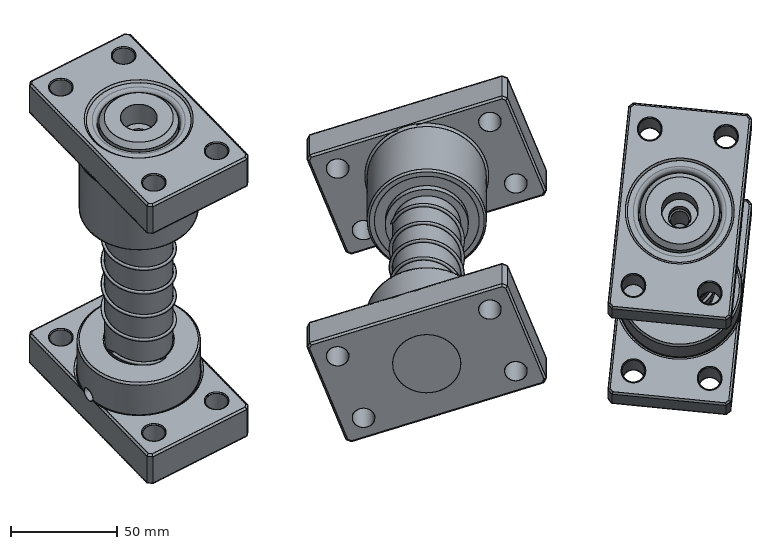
import cadquery as cq
import math

total_height = 190.0
plate_thickness = 20.0
boss_top = 40.0
upper_plate_top = 189.0
upper_plate_bottom = upper_plate_top - plate_thickness
housing_bottom = 128.5
cage_bottom = 125.0

plate_length = 100.0
plate_width = 58.0
plate_angle = -36.94
plate_corner = 2.0
plate_edge = 1.0
bolt_spacing_long = 76.0
bolt_spacing_short = 36.0
bolt_hole_diameter = 11.6
bolt_hole_edge = 0.5
bolt_hole_edge_angle = 90.0

boss_radius = 29.0
boss_chamfer = 1.0
pillar_bore_chamfer = 0.7
groove_outer_radius = 30.4
groove_depth = 1.0
cross_hole_radius = 3.5
cross_hole_depth = 12.0

barrel_radius = 28.0
barrel_chamfer = 1.0
flare_width = 1.1
flare_height = 1.3
bush_bore_chamfer = 1.0

bush_radius = 24.6
bush_mouth_radius = 2.3
bush_top = upper_plate_top - bush_bore_chamfer

cage_radius = 19.5

retainer_radius = 18.7
retainer_chamfer = 2.5
retainer_floor = 5.0
screw_head_radius = 8.6
screw_head_depth = 13.0
screw_clearance_radius = 5.2
retainer_bottom = total_height - screw_head_depth - retainer_floor

pillar_radius = 16.0
pillar_top = retainer_bottom
tap_radius = 4.25
tap_chamfer = 0.85
tap_depth = 25.0
drill_tip_angle = 118.0

spring_pitch = 16.0
spring_radius = 16.9
wire_radius = 0.8
spring_phase_angle = 319.5


def cylinder(radius, bottom, top):
    """Solid cylinder about the Z axis."""
    return cq.Workplane("XY", origin=(0, 0, bottom)).circle(radius).extrude(top - bottom)


def cone(bottom_radius, top_radius, bottom, top):
    """Solid truncated cone about the Z axis."""
    solid = cq.Solid.makeCone(bottom_radius, top_radius, top - bottom, cq.Vector(0, 0, bottom))
    return cq.Workplane(solid)


def turn_about_z(outline):
    """Revolve a closed half section, drawn as (radius, height), about the Z axis."""
    return outline.close().revolve(360, (0, 0), (0, 1))


def make_plate(bottom):
    """Chamfered rectangular plate with four bolt holes."""
    bolt_bore_diameter = bolt_hole_diameter - 2 * bolt_hole_edge
    plate = (
        cq.Workplane("XY")
        .box(plate_length, plate_width, plate_thickness, centered=(True, True, False))
        .edges("|Z").chamfer(plate_corner)
        .faces("<Z or >Z").edges().chamfer(plate_edge)
        .faces(">Z").workplane()
        .rect(bolt_spacing_long, bolt_spacing_short, forConstruction=True)
        .vertices().cskHole(bolt_bore_diameter, bolt_hole_diameter, bolt_hole_edge_angle)
    )
    return plate.rotate((0, 0, 0), (0, 0, 1), plate_angle).translate((0, 0, bottom))


def make_cross_hole():
    """Radial blind hole, centred on the plate's top face, square to the plate's long side."""
    floor_distance = boss_radius - cross_hole_depth
    hole = (
        cq.Workplane("XZ", origin=(0, -floor_distance, plate_thickness))
        .circle(cross_hole_radius).extrude(plate_width)
    )
    return hole.rotate((0, 0, 0), (0, 0, 1), plate_angle)


def make_lower_flange():
    """Lower plate with the boss that holds the pillar."""
    groove_floor = plate_thickness - groove_depth
    groove = cone(groove_outer_radius - groove_depth, groove_outer_radius, groove_floor, plate_thickness)
    boss = cylinder(boss_radius, groove_floor, boss_top).faces(">Z").edges().chamfer(boss_chamfer)
    bore = cylinder(pillar_radius, 0, boss_top)
    bore_mouth = cone(
        pillar_radius, pillar_radius + pillar_bore_chamfer, boss_top - pillar_bore_chamfer, boss_top
    )
    flange = make_plate(0).cut(groove).union(boss)
    return flange.cut(bore).cut(bore_mouth).cut(make_cross_hole())


def make_housing():
    """Upper plate with the barrel that holds the bush."""
    barrel = cylinder(barrel_radius, housing_bottom, upper_plate_bottom)
    barrel = barrel.faces("<Z").edges().chamfer(barrel_chamfer)
    flare = cone(
        barrel_radius, barrel_radius + flare_width, upper_plate_bottom - flare_height, upper_plate_bottom
    )
    bore = cylinder(bush_radius, housing_bottom, upper_plate_top)
    bore_mouth = cone(bush_radius, bush_radius + bush_bore_chamfer, bush_top, upper_plate_top)
    return make_plate(upper_plate_bottom).union(barrel).union(flare).cut(bore).cut(bore_mouth)


def make_bush():
    """Sleeve pressed into the housing, rounded at the top of its bore."""
    outline = (
        cq.Workplane("XZ")
        .moveTo(cage_radius, housing_bottom)
        .lineTo(bush_radius, housing_bottom)
        .lineTo(bush_radius, bush_top)
        .lineTo(cage_radius + bush_mouth_radius, bush_top)
        .radiusArc((cage_radius, bush_top - bush_mouth_radius), -bush_mouth_radius)
    )
    return turn_about_z(outline)


def make_cage():
    """Plain tube between the pillar and the bush, stopped by the retainer."""
    return cylinder(cage_radius, cage_bottom, retainer_bottom).cut(
        cylinder(pillar_radius, cage_bottom, retainer_bottom)
    )


def make_retainer():
    """Cup with a screw counterbore, seated on the pillar's top."""
    screw_seat = retainer_bottom + retainer_floor
    cup = cylinder(retainer_radius, retainer_bottom, total_height)
    cup = cup.faces(">Z").edges().chamfer(retainer_chamfer)
    cup = cup.cut(cylinder(screw_head_radius, screw_seat, total_height))
    return cup.cut(cylinder(screw_clearance_radius, retainer_bottom, screw_seat))


def make_pillar():
    """Round pillar with a chamfered blind hole that ends in a drill tip."""
    tip_length = tap_radius / math.tan(math.radians(drill_tip_angle / 2))
    outline = cq.Workplane("XZ").polyline([
        (0, 0),
        (pillar_radius, 0),
        (pillar_radius, pillar_top),
        (tap_radius + tap_chamfer, pillar_top),
        (tap_radius, pillar_top - tap_chamfer),
        (tap_radius, pillar_top - tap_depth),
        (0, pillar_top - tap_depth - tip_length),
    ])
    return turn_about_z(outline)


def make_spring():
    """Helical wire, ground flat on the boss and on the cage."""
    overrun = 2 * wire_radius
    coil_bottom = boss_top - overrun
    coil_length = cage_bottom + overrun - coil_bottom
    path = cq.Wire.makeHelix(spring_pitch, coil_length, spring_radius, lefthand=True)
    coil = (
        cq.Workplane("XZ").center(spring_radius, 0).circle(wire_radius)
        .sweep(cq.Workplane(path), isFrenet=True)
        .translate((0, 0, coil_bottom))
    )
    start_angle = spring_phase_angle + 360 * overrun / spring_pitch
    coil = coil.rotate((0, 0, 0), (0, 0, 1), start_angle)
    lower_grinding = cylinder(2 * spring_radius, coil_bottom - overrun, boss_top)
    upper_grinding = cylinder(2 * spring_radius, cage_bottom, cage_bottom + 2 * overrun)
    return coil.cut(lower_grinding).cut(upper_grinding)


lower_flange = make_lower_flange()
housing = make_housing()
bush = make_bush()
cage = make_cage()
retainer = make_retainer()
pillar = make_pillar()
spring = make_spring()

result = cq.Compound.makeCompound([
    lower_flange.val(),
    housing.val(),
    bush.val(),
    cage.val(),
    retainer.val(),
    pillar.val(),
    spring.val(),
])